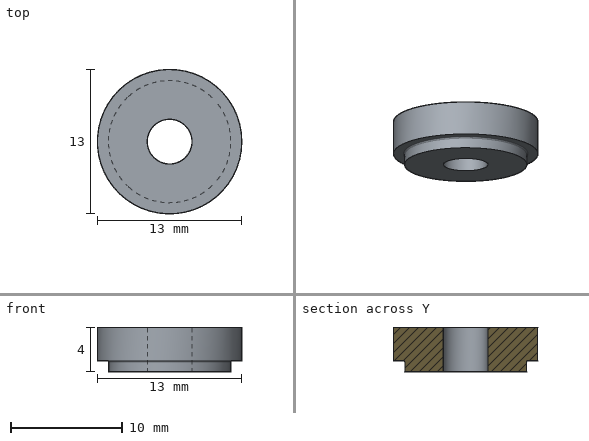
import cadquery as cq

outer_diameter = 13
step_diameter = 11.0
bore_diameter = 4.0
total_height = 4.0
step_height = 1.0
corner_fillet = 0.1

step = cq.Workplane("XY").circle(step_diameter / 2).extrude(step_height)

disc = (
    cq.Workplane("XY")
    .workplane(offset=step_height)
    .circle(outer_diameter / 2)
    .extrude(total_height - step_height)
)

body = step.union(disc)
corner_edge = cq.selectors.RadiusNthSelector(0)
body = body.faces("<Z[1]").edges(corner_edge).fillet(corner_fillet)

result = body.faces(">Z").workplane().circle(bore_diameter / 2).cutThruAll()